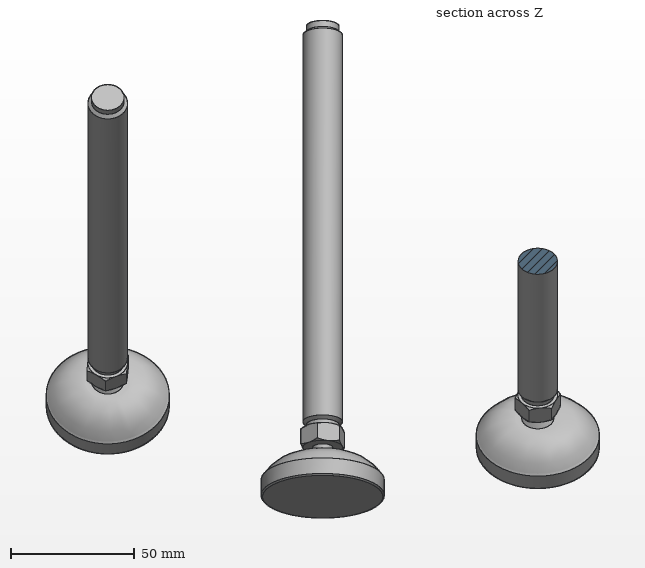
import cadquery as cq
import math

total_height = 204.2

foot_radius = 50.0 / 2
rim_bevel = 0.6
rim_top_z = 8.0
foot_top_z = 16.5
foot_flat_radius = 9.2

cone_base_radius = 13.0 / 2
neck_radius = 8.2 / 2
cone_top_z = 19.6

hex_bottom_z = 21.5
hex_height = 7.8
hex_across_flats = 16.1
hex_top_z = hex_bottom_z + hex_height
hex_corner_slope = math.radians(30)

stem_radius = 16.1 / 2
step_radius = 13.3 / 2
chamfer_height = 1.2
stem_bottom_z = 31.2
stem_top_z = 201.5


def make_foot():
    dome_radius = foot_radius - rim_bevel
    dome_width = dome_radius - foot_flat_radius
    dome_height = foot_top_z - rim_top_z
    dome_arc_radius = (dome_width**2 + dome_height**2) / (2 * dome_height)
    half_angle = math.asin(dome_width / dome_arc_radius) / 2
    arc_middle = (
        foot_flat_radius + dome_arc_radius * math.sin(half_angle),
        foot_top_z - dome_arc_radius * (1 - math.cos(half_angle)),
    )
    profile = (
        cq.Workplane("XZ")
        .lineTo(foot_radius - rim_bevel, 0)
        .lineTo(foot_radius, rim_bevel)
        .lineTo(foot_radius, rim_top_z - rim_bevel)
        .lineTo(dome_radius, rim_top_z)
        .threePointArc(arc_middle, (foot_flat_radius, foot_top_z))
        .lineTo(0, foot_top_z)
        .close()
    )
    return profile.revolve(360, (0, 0, 0), (0, 1, 0))


def make_spindle():
    points = [
        (0, foot_top_z),
        (cone_base_radius, foot_top_z),
        (neck_radius, cone_top_z),
        (neck_radius, hex_bottom_z),
        (step_radius, hex_bottom_z),
        (step_radius, stem_bottom_z),
        (stem_radius, stem_bottom_z + chamfer_height),
        (stem_radius, stem_top_z - chamfer_height),
        (step_radius, stem_top_z),
        (step_radius, total_height),
        (0, total_height),
    ]
    return cq.Workplane("XZ").polyline(points).close().revolve(360, (0, 0, 0), (0, 1, 0))


def make_hexagon():
    flat_radius = hex_across_flats / 2
    corner_radius = flat_radius / math.cos(math.radians(30))
    corner_drop = (corner_radius - flat_radius) * math.tan(hex_corner_slope)
    prism = (
        cq.Workplane("XY", origin=(0, 0, hex_bottom_z))
        .polygon(6, 2 * corner_radius)
        .extrude(hex_height)
        .rotate((0, 0, 0), (0, 0, 1), 30)
    )
    trim_points = [
        (0, hex_bottom_z),
        (flat_radius, hex_bottom_z),
        (corner_radius, hex_bottom_z + corner_drop),
        (corner_radius, hex_top_z - corner_drop),
        (flat_radius, hex_top_z),
        (0, hex_top_z),
    ]
    trim = cq.Workplane("XZ").polyline(trim_points).close().revolve(360, (0, 0, 0), (0, 1, 0))
    return prism.intersect(trim)


result = make_foot().union(make_spindle()).union(make_hexagon())